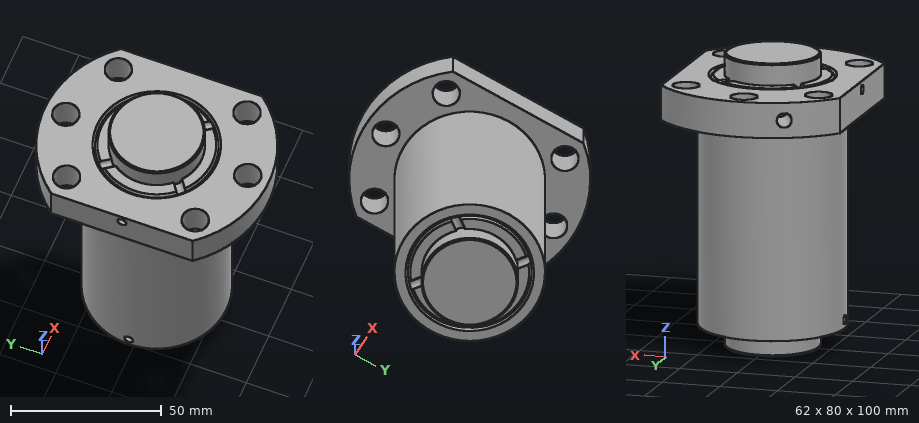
import cadquery as cq
import math

shaft_length = 100.0
shaft_diameter = 32.0
shaft_chamfer = 0.5
body_diameter = 50.0
body_length = 85.0
body_bottom = (shaft_length - body_length) / 2
body_top = body_bottom + body_length

flange_diameter = 80.0
flange_width = 62.0
flange_thickness = 12.0
flange_bottom = body_top - flange_thickness
bolt_circle_diameter = 65.0
bolt_hole_diameter = 9.0
bolt_angles = (45, 90, 135, 225, 270, 315)

wiper_radius = 20.5
mouth_chamfer = 0.8
wiper_chamfer = 0.8
wiper_slot_diameter = 3.0
wiper_slot_count = 4
wiper_slot_first_angle = 36.0
wiper_slot_offset = 3.3

screw_hole_diameter = 3.0
screw_end_distance = 3.0
oil_hole_diameter = 4.9
oil_hole_angle = 112.5
oil_hole_depth = 15.0


def cylinder(diameter, bottom, height):
    return cq.Workplane("XY").workplane(offset=bottom).circle(diameter / 2).extrude(height)


def make_flange():
    disc = cylinder(flange_diameter, flange_bottom, flange_thickness)
    flats = cq.Workplane("XY").box(flange_width, flange_diameter, 2 * shaft_length)
    bolt_points = [
        (
            bolt_circle_diameter / 2 * math.cos(math.radians(angle)),
            bolt_circle_diameter / 2 * math.sin(math.radians(angle)),
        )
        for angle in bolt_angles
    ]
    bolt_holes = (
        cq.Workplane("XY").workplane(offset=flange_bottom)
        .pushPoints(bolt_points).circle(bolt_hole_diameter / 2).extrude(flange_thickness)
    )
    return disc.intersect(flats).cut(bolt_holes)


def make_wiper_cut():
    """V groove around the upper wiper ring and the skewed half-round slots across it."""
    cut = (
        cq.Workplane("XZ")
        .moveTo(wiper_radius - wiper_chamfer, body_top)
        .lineTo(wiper_radius, body_top - wiper_chamfer)
        .lineTo(wiper_radius + mouth_chamfer, body_top)
        .close()
        .revolve(360, (0, 0, 0), (0, 1, 0))
    )
    slot = (
        cq.Workplane("YZ").center(wiper_slot_offset, body_top)
        .circle(wiper_slot_diameter / 2).extrude(wiper_radius)
    )
    wiper = cylinder(2 * wiper_radius, body_top - wiper_slot_diameter, wiper_slot_diameter)
    slot = slot.intersect(wiper)
    for index in range(wiper_slot_count):
        angle = wiper_slot_first_angle + index * 360 / wiper_slot_count
        cut = cut.union(slot.rotate((0, 0, 0), (0, 0, 1), angle))
    return cut


def radial_hole(diameter, height, angle, inner_radius, outer_radius):
    hole = (
        cq.Workplane("YZ", origin=(inner_radius, 0, height))
        .circle(diameter / 2).extrude(outer_radius - inner_radius)
    )
    return hole.rotate((0, 0, 0), (0, 0, 1), angle)


nut = cylinder(body_diameter, body_bottom, body_length).union(make_flange())
upper_wiper_cut = make_wiper_cut()
lower_wiper_cut = upper_wiper_cut.mirror("XY", (0, 0, shaft_length / 2))
nut = nut.cut(upper_wiper_cut).cut(lower_wiper_cut)

for screw_height in (body_bottom + screw_end_distance, body_top - screw_end_distance):
    nut = nut.cut(
        radial_hole(screw_hole_diameter, screw_height, 180, wiper_radius, flange_width / 2)
    )

oil_hole_height = flange_bottom + flange_thickness / 2
oil_hole_floor = flange_diameter / 2 - oil_hole_depth
nut = nut.cut(
    radial_hole(oil_hole_diameter, oil_hole_height, oil_hole_angle, oil_hole_floor, flange_diameter / 2)
)

shaft = cylinder(shaft_diameter, 0, shaft_length).edges().chamfer(shaft_chamfer)
result = nut.union(shaft).translate((0, 0, -shaft_length / 2))